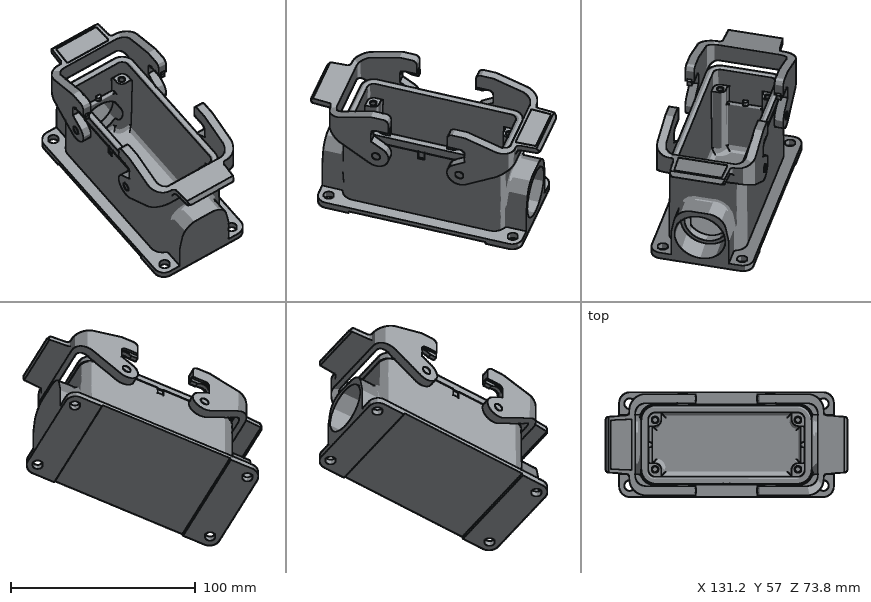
import cadquery as cq
import math

MARGIN = 0.1

FLANGE_LENGTH = 116.6
FLANGE_WIDTH = 57.0
FLANGE_TOP = 4.0
FLANGE_CORNER_RADIUS = 6.0
RELIEF_LENGTH = 77.5
RELIEF_HEIGHT = 1.2
RELIEF_SLOPE_RUN = 0.5
SCREW_HOLE_DIAMETER = 5.6
SCREW_HOLE_X = 52.5
SCREW_HOLE_Y = 22.2

WALL_DRAFT = 0.45
WALL_LENGTH = 93.5
WALL_WIDTH = 43.7
WALL_TOP = 50.0
WALL_CORNER_RADIUS = 7.5

RIM_LENGTH = 92.2
RIM_WIDTH = 42.3
RIM_THICKNESS = 3.7
RIM_CORNER_RADIUS = 7.5
HOUSING_TOP = 55.5
RIM_CROWN = 0.4
RIM_EDGE = HOUSING_TOP - RIM_CROWN

NOTCH_WIDTH = 3.7
NOTCH_HEIGHT = 4.9
NOTCH_DEPTH = 1.0

CAVITY_LENGTH = RIM_LENGTH - 2 * RIM_THICKNESS
CAVITY_WIDTH = RIM_WIDTH - 2 * RIM_THICKNESS
CAVITY_CORNER_RADIUS = RIM_CORNER_RADIUS - RIM_THICKNESS
FLOOR_TOP = 3.4
FLOOR_FILLET = 3.2

POST_X = 38.7
POST_Y = 13.4
POST_RADIUS = 3.3
POST_TOP = 44.8
POST_COVE_RADIUS = 1.3
POST_HOLE_DIAMETER = 3.0
POST_HOLE_DEPTH = 13.1
POST_HOLE_CHAMFER = 0.4
COUNTERSINK_ANGLE = 45

LEDGE_FACE_X = 40.2
LEDGE_HALF_WIDTH = 12.5
LEDGE_TOP = 34.1
LEDGE_CORNER_RADIUS = 3.2
LEDGE_EDGE_RADIUS = 0.5
PEG_DIAMETER = 2.9
PEG_HEIGHT = 2.6

BOSS_FACE_X = FLANGE_LENGTH / 2
BOSS_TOP = 35.8
BOSS_HALF_WIDTH = 16.1
BOSS_FLAT_HALF_WIDTH = 4.6
BOSS_ARC_RADIUS = 10.1
BOSS_SIDE_LEAN = 10.8
BOSS_BEND_RADIUS = 9.2
BOSS_ROOT_FILLET = 1.6
BORE_Z = 18.8
BORE_DIAMETER = 24.0
COUNTERBORE_DIAMETER = 28.4
COUNTERBORE_DEPTH = 13.1

PIVOT_X = 23.8
PIVOT_Z = 45.7
PIN_DIAMETER = 4.7
PIN_END_Y = 27.7
PIN_COLLAR_DIAMETER = 6.7

ARM_INNER_Y = 22.5
ARM_OUTER_Y = 27.5
STRAP_OUTER_X = 52.8
STRAP_OUTER_RADIUS = 8.9
STRAP_INNER_RADIUS = 5.6
BEND_X = STRAP_OUTER_RADIUS - STRAP_OUTER_X
STRAP_INNER_X = BEND_X - STRAP_INNER_RADIUS
BEND_OUTER_CENTRE_Y = ARM_OUTER_Y - STRAP_OUTER_RADIUS
BEND_INNER_CENTRE_Y = ARM_INNER_Y - STRAP_INNER_RADIUS
ARM_THICKNESS = ARM_OUTER_Y - ARM_INNER_Y
ARM_MIDDLE_Y = (ARM_OUTER_Y + ARM_INNER_Y) / 2
STRAP_BOTTOM = 55.4
BEND_SECTIONS = 7
EYE_RADIUS = 7.1
ARM_ANGLE = 31.5
LEVER_TOP = 73.8
TAB_TOP = 66.0
SHOULDER_X = 26.8
NOSE_X = 16.8
NOSE_RADIUS = 3.0
JAW_X = 26.6
JAW_TOP = 64.5
JAW_RADIUS = 2.9

LIP_THICKNESS = 2.5
LIP_NOSE_X = 16.3
LIP_BOTTOM = 61.8
LIP_FLAT_END_X = 20.1
LIP_HOLLOW_START = (-22.8, 63.0)
LIP_HOLLOW_MIDDLE = (-25.5, 62.5)
LIP_HOLLOW_END_Z = 60.0
LIP_ROOT_DEPTH = 1.3

TAB_BOTTOM = 62.6
TAB_ROOT_X = (STRAP_INNER_X - STRAP_OUTER_X) / 2
TAB_END_X = 65.6
TAB_END_HALF_WIDTH = 15.1
TAB_ROOT_HALF_WIDTH = 16.0
TAB_CORNER_RADIUS = 2.0
TAB_TIP_Z = 63.5
TAB_TIP_TOP_RUN = 1.8
TAB_TIP_BOTTOM_RUN = 1.3
TAB_ROOT_FILLET = 2.0
PANEL_DEPTH = 0.3
PANEL_OUTER_X = 62.8
PANEL_INNER_X = 51.3
PANEL_OUTER_HALF_WIDTH = 13.3
PANEL_INNER_HALF_WIDTH = 13.8
PANEL_CORNER_RADIUS = 0.7


def rounded_box(length, width, radius, bottom, top, draft=0.0):
    """Box centred on the Z axis with rounded vertical edges; positive draft narrows it upward."""
    outline = cq.Sketch().rect(length, width).vertices().fillet(radius)
    return cq.Workplane().workplane(offset=bottom).placeSketch(outline).extrude(top - bottom, taper=draft)


def make_flange():
    """Mounting flange with a screw hole in each corner."""
    flange = rounded_box(FLANGE_LENGTH, FLANGE_WIDTH, FLANGE_CORNER_RADIUS, 0, FLANGE_TOP)
    holes = (
        cq.Workplane()
        .rect(2 * SCREW_HOLE_X, 2 * SCREW_HOLE_Y, forConstruction=True)
        .vertices()
        .circle(SCREW_HOLE_DIAMETER / 2)
        .extrude(FLANGE_TOP)
    )
    return flange.cut(holes)


def make_base_relief():
    """Shallow channel across the underside, between the end feet."""
    half_relief = RELIEF_LENGTH / 2
    return (
        cq.Workplane("XZ")
        .polyline([
            (-half_relief - RELIEF_SLOPE_RUN, 0),
            (half_relief + RELIEF_SLOPE_RUN, 0),
            (half_relief, RELIEF_HEIGHT),
            (-half_relief, RELIEF_HEIGHT),
        ])
        .close()
        .extrude(FLANGE_WIDTH / 2, both=True)
    )


def make_rim():
    """Upright rim above the wall, closed by a slightly crowned top edge."""
    rim = rounded_box(RIM_LENGTH, RIM_WIDTH, RIM_CORNER_RADIUS, WALL_TOP, RIM_EDGE)
    inside = rounded_box(CAVITY_LENGTH, CAVITY_WIDTH, CAVITY_CORNER_RADIUS, WALL_TOP, RIM_EDGE)
    path = cq.Workplane(inside.faces(">Z").wires().val())
    crown_outer = -RIM_WIDTH / 2
    crown = (
        cq.Workplane("YZ")
        .moveTo(crown_outer, RIM_EDGE)
        .threePointArc(
            (crown_outer + RIM_THICKNESS / 2, HOUSING_TOP),
            (crown_outer + RIM_THICKNESS, RIM_EDGE),
        )
        .close()
        .sweep(path)
    )
    return rim.union(crown)


def make_boss_bar():
    """Arch-shaped bar through the housing whose two ends are the cable bosses."""
    lean = math.radians(BOSS_SIDE_LEAN)
    arc_centre_z = BOSS_TOP - BOSS_ARC_RADIUS
    side_y = BOSS_FLAT_HALF_WIDTH + BOSS_ARC_RADIUS * math.cos(lean)
    side_z = arc_centre_z + BOSS_ARC_RADIUS * math.sin(lean)
    bend_z = side_z - (BOSS_HALF_WIDTH - side_y) / math.tan(lean)
    return (
        cq.Workplane("YZ")
        .moveTo(-BOSS_HALF_WIDTH, 0)
        .lineTo(BOSS_HALF_WIDTH, 0)
        .lineTo(BOSS_HALF_WIDTH, bend_z)
        .lineTo(side_y, side_z)
        .radiusArc((BOSS_FLAT_HALF_WIDTH, BOSS_TOP), -BOSS_ARC_RADIUS)
        .lineTo(-BOSS_FLAT_HALF_WIDTH, BOSS_TOP)
        .radiusArc((-side_y, side_z), -BOSS_ARC_RADIUS)
        .lineTo(-BOSS_HALF_WIDTH, bend_z)
        .close()
        .extrude(BOSS_FACE_X, both=True)
        .edges(cq.selectors.BoxSelector(
            (-MARGIN, -BOSS_HALF_WIDTH - MARGIN, bend_z - MARGIN),
            (MARGIN, BOSS_HALF_WIDTH + MARGIN, bend_z + MARGIN),
        ))
        .fillet(BOSS_BEND_RADIUS)
    )


def make_shell():
    """Drafted wall and the two cable bosses, joined with root fillets."""
    wall = rounded_box(WALL_LENGTH, WALL_WIDTH, WALL_CORNER_RADIUS, 0, WALL_TOP, WALL_DRAFT)
    shell = wall.union(make_boss_bar())
    wall_end_x = WALL_LENGTH / 2
    for side in (-1, 1):
        root = cq.selectors.BoxSelector(
            (side * (wall_end_x - BOSS_ROOT_FILLET), -BOSS_HALF_WIDTH - MARGIN, MARGIN),
            (side * (wall_end_x + BOSS_ROOT_FILLET), BOSS_HALF_WIDTH + MARGIN, BOSS_TOP + MARGIN),
        )
        shell = shell.edges(root).fillet(BOSS_ROOT_FILLET)
    return shell


def make_cove(corner_x, corner_y, height):
    """Concave rounding that fills the -X -Y side of a vertical corner."""
    radius = POST_COVE_RADIUS
    return (
        cq.Workplane()
        .moveTo(corner_x, corner_y)
        .lineTo(corner_x - radius, corner_y)
        .radiusArc((corner_x, corner_y - radius), radius)
        .close()
        .extrude(height)
    )


def make_post():
    """Post in the +X +Y corner: a round column squared off towards the walls, flared at the floor."""
    wall_x = WALL_LENGTH / 2
    wall_y = WALL_WIDTH / 2
    inner_x = POST_X - POST_RADIUS
    inner_y = POST_Y - POST_RADIUS
    column = (
        cq.Workplane()
        .moveTo(inner_x, wall_y)
        .lineTo(wall_x, wall_y)
        .lineTo(wall_x, inner_y)
        .lineTo(POST_X, inner_y)
        .radiusArc((inner_x, POST_Y), POST_RADIUS)
        .close()
        .extrude(POST_TOP)
    )
    foot_margin = 2 * FLOOR_FILLET
    foot_corner = (inner_x - foot_margin, inner_y - foot_margin)
    foot = (
        cq.Workplane()
        .box(wall_x - foot_corner[0], wall_y - foot_corner[1], FLOOR_TOP, centered=False)
        .translate((*foot_corner, 0))
    )
    foot_line = cq.selectors.BoxSelector(
        (inner_x - MARGIN, inner_y - MARGIN, FLOOR_TOP - MARGIN),
        (wall_x - MARGIN, wall_y - MARGIN, FLOOR_TOP + MARGIN),
    )
    post = foot.union(column).edges(foot_line).fillet(FLOOR_FILLET)
    coves = [
        make_cove(inner_x, CAVITY_WIDTH / 2, POST_TOP),
        make_cove(CAVITY_LENGTH / 2, inner_y, POST_TOP),
        make_cove(LEDGE_FACE_X, inner_y, LEDGE_TOP),
    ]
    for cove in coves:
        post = post.union(cove)
    return post


def make_ledge():
    """Thickened +X end wall behind the cable boss, flared at the floor, with a small peg on top."""
    thickness = WALL_LENGTH / 2 - LEDGE_FACE_X
    width = 2 * LEDGE_HALF_WIDTH
    wall = (
        cq.Workplane()
        .box(thickness, width, LEDGE_TOP, centered=(False, True, False))
        .edges("|X and >Z")
        .fillet(LEDGE_CORNER_RADIUS)
        .faces("<X")
        .edges(">Z")
        .fillet(LEDGE_EDGE_RADIUS)
    )
    foot_reach = 2 * FLOOR_FILLET
    foot = (
        cq.Workplane()
        .box(thickness + foot_reach, width, FLOOR_TOP, centered=(False, True, False))
        .translate((-foot_reach, 0, 0))
    )
    foot_line = cq.selectors.NearestToPointSelector((0, 0, FLOOR_TOP))
    peg = (
        cq.Workplane()
        .workplane(offset=LEDGE_TOP)
        .center(PEG_DIAMETER / 2, 0)
        .circle(PEG_DIAMETER / 2)
        .extrude(PEG_HEIGHT)
    )
    ledge = foot.union(wall).edges(foot_line).fillet(FLOOR_FILLET).union(peg)
    return ledge.translate((LEDGE_FACE_X, 0, 0))


def make_cavity():
    """Everything removed from inside the wall, leaving posts, ledges and a rounded floor edge."""
    mouth = rounded_box(CAVITY_LENGTH, CAVITY_WIDTH, CAVITY_CORNER_RADIUS, WALL_TOP, HOUSING_TOP)
    outline = cq.Sketch().rect(CAVITY_LENGTH, CAVITY_WIDTH).vertices().fillet(CAVITY_CORNER_RADIUS)
    pit = (
        cq.Workplane()
        .workplane(offset=WALL_TOP)
        .placeSketch(outline)
        .extrude(FLOOR_TOP - WALL_TOP, taper=WALL_DRAFT)
        .faces("<Z")
        .edges()
        .fillet(FLOOR_FILLET)
    )
    ledge = make_ledge()
    post = make_post()
    end_fittings = ledge.union(post).union(post.mirror("XZ"))
    return pit.cut(end_fittings).cut(end_fittings.mirror("YZ")).union(mouth)


def make_post_holes():
    """Blind hole with a countersunk mouth in the top of each post."""
    hole_radius = POST_HOLE_DIAMETER / 2
    centres = (
        cq.Workplane()
        .workplane(offset=POST_TOP)
        .rect(2 * POST_X, 2 * POST_Y, forConstruction=True)
        .vertices()
    )
    holes = centres.circle(hole_radius).extrude(-POST_HOLE_DEPTH)
    mouth_radius = hole_radius + POST_HOLE_CHAMFER
    mouths = centres.circle(mouth_radius).extrude(-POST_HOLE_CHAMFER, taper=COUNTERSINK_ANGLE)
    return holes.union(mouths)


def make_cable_entry():
    """Stepped bore through the -X boss, running into the cavity past the flanks of the corner posts."""
    bore_end_x = POST_X - POST_RADIUS
    bore = (
        cq.Workplane("YZ")
        .workplane(offset=-BOSS_FACE_X)
        .center(0, BORE_Z)
        .circle(BORE_DIAMETER / 2)
        .extrude(BOSS_FACE_X - bore_end_x)
    )
    counterbore = (
        cq.Workplane("YZ")
        .workplane(offset=-BOSS_FACE_X)
        .center(0, BORE_Z)
        .circle(COUNTERBORE_DIAMETER / 2)
        .extrude(COUNTERBORE_DEPTH)
    )
    return bore.union(counterbore)


def make_notches():
    """Shallow recess at the middle of each long side, just below the rim."""
    top_y = WALL_WIDTH / 2 - math.tan(math.radians(WALL_DRAFT)) * WALL_TOP
    recess = cq.Workplane().box(NOTCH_WIDTH, 2 * NOTCH_DEPTH, NOTCH_HEIGHT, centered=(True, True, False))
    recess = recess.translate((0, -top_y, WALL_TOP - NOTCH_HEIGHT))
    return recess.union(recess.mirror("XZ"))


def cylinder_along_y(x, z, diameter, start, end):
    """Round bar parallel to Y, from one Y position to another."""
    return (
        cq.Workplane("XZ", origin=(x, start, z))
        .circle(diameter / 2)
        .extrude(start - end)
    )


def make_housing():
    """Housing with its pivot pins, which are part of the casting."""
    housing = make_shell().union(make_flange()).union(make_rim())
    wall_middle_y = (CAVITY_WIDTH + RIM_THICKNESS) / 2
    housing = housing.cut(make_notches()).cut(make_cavity())
    housing = housing.cut(make_base_relief()).cut(make_post_holes()).cut(make_cable_entry())
    for x in (-PIVOT_X, PIVOT_X):
        for side in (-1, 1):
            start = side * wall_middle_y
            collar = cylinder_along_y(x, PIVOT_Z, PIN_COLLAR_DIAMETER, start, side * ARM_INNER_Y)
            pin = cylinder_along_y(x, PIVOT_Z, PIN_DIAMETER, start, side * PIN_END_Y)
            housing = housing.union(collar).union(pin)
    return housing


def arm_slope():
    """Slope of the straight arm edges, and the X and Z offsets from the pivot to where they touch the eye."""
    slope = math.radians(ARM_ANGLE)
    return slope, EYE_RADIUS * math.sin(slope), EYE_RADIUS * math.cos(slope)


def arm_top_at(x):
    """Height of the sloped top edge, which falls from the shoulder to the strap."""
    return TAB_TOP + (LEVER_TOP - TAB_TOP) * (x + STRAP_OUTER_X) / (STRAP_OUTER_X - SHOULDER_X)


def arm_bottom_at(x):
    """Height of the straight lower edge, which touches the eye from below."""
    slope, touch_x, touch_z = arm_slope()
    return PIVOT_Z - touch_z - (x + PIVOT_X + touch_x) * math.tan(slope)


def lever_arm(side):
    """Flat arm of the lever: hook, jaw and eye, up to the start of the strap bend."""
    slope, touch_x, touch_z = arm_slope()
    upper_touch = (-PIVOT_X + touch_x, PIVOT_Z + touch_z)
    lower_touch = (-PIVOT_X - touch_x, PIVOT_Z - touch_z)
    eye_tip = (-PIVOT_X + EYE_RADIUS * math.cos(slope), PIVOT_Z - EYE_RADIUS * math.sin(slope))
    jaw_bottom = upper_touch[1] + (upper_touch[0] + JAW_X) * math.tan(slope)
    arm = (
        cq.Workplane("XZ")
        .moveTo(BEND_X, arm_top_at(BEND_X))
        .lineTo(-SHOULDER_X, LEVER_TOP)
        .lineTo(-NOSE_X - NOSE_RADIUS, LEVER_TOP)
        .radiusArc((-NOSE_X, LEVER_TOP - NOSE_RADIUS), NOSE_RADIUS)
        .lineTo(-NOSE_X, JAW_TOP)
        .lineTo(-JAW_X + JAW_RADIUS, JAW_TOP)
        .radiusArc((-JAW_X, JAW_TOP - JAW_RADIUS), -JAW_RADIUS)
        .lineTo(-JAW_X, jaw_bottom)
        .lineTo(*upper_touch)
        .threePointArc(eye_tip, lower_touch)
        .lineTo(BEND_X, arm_bottom_at(BEND_X))
        .close()
        .extrude(ARM_THICKNESS / 2, both=True)
    )
    return arm.translate((0, side * ARM_MIDDLE_Y, 0))


def lever_bend(side):
    """Quarter-turn bend whose upper and lower edges level out from the arm to the strap end."""
    sections = []
    for step in range(BEND_SECTIONS):
        angle = math.pi / 2 * step / (BEND_SECTIONS - 1)
        turn = math.sin(angle)
        outer_x = BEND_X - STRAP_OUTER_RADIUS * turn
        inner_x = BEND_X - STRAP_INNER_RADIUS * turn
        outer_y = side * (BEND_OUTER_CENTRE_Y + STRAP_OUTER_RADIUS * math.cos(angle))
        inner_y = side * (BEND_INNER_CENTRE_Y + STRAP_INNER_RADIUS * math.cos(angle))
        top = arm_top_at(outer_x)
        start_bottom = arm_bottom_at(BEND_X)
        bottom = start_bottom + (STRAP_BOTTOM - start_bottom) * turn
        corners = [
            (outer_x, outer_y, bottom),
            (outer_x, outer_y, top),
            (inner_x, inner_y, top),
            (inner_x, inner_y, bottom),
        ]
        sections.append(cq.Wire.makePolygon([cq.Vector(*corner) for corner in corners], close=True))
    return cq.Workplane(cq.Solid.makeLoft(sections))


def strap_end():
    """Straight end of the strap between the two bends."""
    return (
        cq.Workplane()
        .workplane(offset=STRAP_BOTTOM)
        .polyline([
            (-STRAP_OUTER_X, -BEND_OUTER_CENTRE_Y),
            (-STRAP_OUTER_X, BEND_OUTER_CENTRE_Y),
            (STRAP_INNER_X, BEND_INNER_CENTRE_Y),
            (STRAP_INNER_X, -BEND_INNER_CENTRE_Y),
        ])
        .close()
        .extrude(TAB_TOP - STRAP_BOTTOM)
    )


def lever_lip(side):
    """Thin locking lip in the jaw, centred in the thickness of the arm."""
    lip = (
        cq.Workplane("XZ")
        .moveTo(-LIP_NOSE_X, JAW_TOP)
        .lineTo(-LIP_NOSE_X, LIP_BOTTOM)
        .lineTo(-LIP_FLAT_END_X, LIP_BOTTOM)
        .lineTo(*LIP_HOLLOW_START)
        .threePointArc(LIP_HOLLOW_MIDDLE, (-JAW_X, LIP_HOLLOW_END_Z))
        .lineTo(-JAW_X - LIP_ROOT_DEPTH, LIP_HOLLOW_END_Z)
        .lineTo(-JAW_X - LIP_ROOT_DEPTH, JAW_TOP + LIP_ROOT_DEPTH)
        .lineTo(-NOSE_X, JAW_TOP + LIP_ROOT_DEPTH)
        .close()
        .extrude(LIP_THICKNESS / 2, both=True)
    )
    return lip.translate((0, side * ARM_MIDDLE_Y, 0))


def lever_tab():
    """Finger tab with a bevelled end and rounded corners."""
    plan = (
        cq.Workplane()
        .workplane(offset=TAB_BOTTOM)
        .polyline([
            (TAB_ROOT_X, -TAB_ROOT_HALF_WIDTH),
            (TAB_ROOT_X, TAB_ROOT_HALF_WIDTH),
            (-TAB_END_X, TAB_END_HALF_WIDTH),
            (-TAB_END_X, -TAB_END_HALF_WIDTH),
        ])
        .close()
        .extrude(TAB_TOP - TAB_BOTTOM)
        .edges("|Z and <X")
        .fillet(TAB_CORNER_RADIUS)
    )
    section = (
        cq.Workplane("XZ")
        .polyline([
            (TAB_ROOT_X, TAB_TOP),
            (-TAB_END_X + TAB_TIP_TOP_RUN, TAB_TOP),
            (-TAB_END_X, TAB_TIP_Z),
            (-TAB_END_X + TAB_TIP_BOTTOM_RUN, TAB_BOTTOM),
            (TAB_ROOT_X, TAB_BOTTOM),
        ])
        .close()
        .extrude(TAB_ROOT_HALF_WIDTH, both=True)
    )
    return plan.intersect(section)


def make_lever():
    """Locking lever at the -X end."""
    root_line = cq.selectors.BoxSelector(
        (-STRAP_OUTER_X - MARGIN, -TAB_ROOT_HALF_WIDTH - MARGIN, TAB_BOTTOM - MARGIN),
        (-STRAP_OUTER_X + MARGIN, TAB_ROOT_HALF_WIDTH + MARGIN, TAB_TOP - MARGIN),
    )
    lever = strap_end().union(lever_tab()).edges(root_line).fillet(TAB_ROOT_FILLET)
    for side in (-1, 1):
        lever = lever.union(lever_bend(side)).union(lever_arm(side)).union(lever_lip(side))
    eye = cylinder_along_y(-PIVOT_X, PIVOT_Z, PIN_DIAMETER, -ARM_OUTER_Y, ARM_OUTER_Y)
    return lever.cut(eye)


def label_panel():
    """Shallow recess in the top of the -X tab."""
    return (
        cq.Workplane()
        .workplane(offset=TAB_TOP)
        .polyline([
            (-PANEL_OUTER_X, -PANEL_OUTER_HALF_WIDTH),
            (-PANEL_OUTER_X, PANEL_OUTER_HALF_WIDTH),
            (-PANEL_INNER_X, PANEL_INNER_HALF_WIDTH),
            (-PANEL_INNER_X, -PANEL_INNER_HALF_WIDTH),
        ])
        .close()
        .extrude(-PANEL_DEPTH)
        .edges("|Z")
        .fillet(PANEL_CORNER_RADIUS)
    )


housing = make_housing()
plain_lever = make_lever()
left_lever = plain_lever.cut(label_panel())
right_lever = plain_lever.mirror("YZ")

result = cq.Compound.makeCompound([housing.val(), left_lever.val(), right_lever.val()])